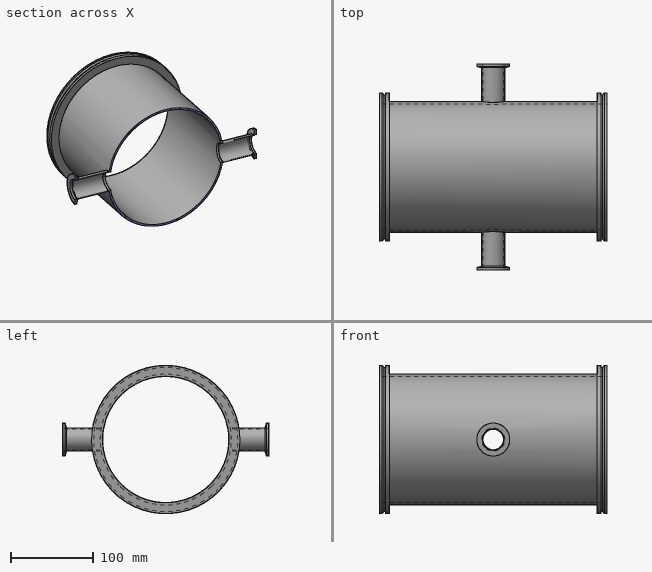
import cadquery as cq
import math

chamber_length = 276.0
chamber_bore_radius = 153.0 / 2
chamber_wall = 3.0
chamber_outer_radius = chamber_bore_radius + chamber_wall

flange_radius = 180.0 / 2
flange_thickness = 12.0
flange_rim_width = 3.0
clamp_groove_depth = 2.5
clamp_groove_end = 7.5

port_face_distance = 250.0 / 2
port_tube_radius = 28.0 / 2
port_bore_radius = 25.0 / 2
port_flange_radius = 40.0 / 2
port_rim_width = 3.0
port_taper_angle = 15.0
port_recess_radius = 26.2 / 2
port_recess_depth = 3.0


def make_flanged_tube():
    """Revolve the tube and both flanges, with a clamp groove round each flange."""
    half_length = chamber_length / 2
    groove_radius = flange_radius - clamp_groove_depth
    chamfer_start = half_length - flange_rim_width
    chamfer_end = chamfer_start - clamp_groove_depth
    groove_wall = half_length - clamp_groove_end
    flange_back = half_length - flange_thickness
    half_outline = [
        (half_length, chamber_bore_radius),
        (half_length, flange_radius),
        (chamfer_start, flange_radius),
        (chamfer_end, groove_radius),
        (groove_wall, groove_radius),
        (groove_wall, flange_radius),
        (flange_back, flange_radius),
        (flange_back, chamber_outer_radius),
    ]
    mirrored_outline = [(-x, radius) for x, radius in reversed(half_outline)]
    profile = cq.Workplane("XZ").polyline(half_outline + mirrored_outline).close()
    return profile.revolve(360, (0, 0, 0), (1, 0, 0))


def make_port_envelope():
    """Solid outer shape of the port on the -Y side, from the chamber axis outwards."""
    rim_back = port_face_distance - port_rim_width
    taper_length = (port_flange_radius - port_tube_radius) * math.tan(math.radians(port_taper_angle))
    profile = (
        cq.Workplane("YZ")
        .lineTo(0, port_tube_radius)
        .lineTo(-(rim_back - taper_length), port_tube_radius)
        .lineTo(-rim_back, port_flange_radius)
        .lineTo(-port_face_distance, port_flange_radius)
        .lineTo(-port_face_distance, 0)
        .close()
    )
    return profile.revolve(360, (0, 0, 0), (1, 0, 0))


def make_port():
    """Port on the -Y side, hollow and saddle-cut to sit on the chamber tube."""
    chamber_envelope = cq.Workplane("YZ").circle(chamber_outer_radius).extrude(chamber_length / 2, both=True)
    bore = cq.Workplane("XZ").circle(port_bore_radius).extrude(port_face_distance)
    recess = (
        cq.Workplane("XZ")
        .workplane(offset=port_face_distance - port_recess_depth)
        .circle(port_recess_radius)
        .extrude(port_recess_depth)
    )
    return make_port_envelope().cut(chamber_envelope).cut(bore).cut(recess)


def make_chamber():
    """Flanged tube with the two port bores drilled through its wall."""
    port_bores = cq.Workplane("XZ").circle(port_bore_radius).extrude(port_face_distance, both=True)
    return make_flanged_tube().cut(port_bores)


chamber = make_chamber()
ports = [make_port().rotate((0, 0, 0), (0, 0, 1), turn) for turn in (0, 180)]

result = cq.Compound.makeCompound([chamber.val(), *[port.val() for port in ports]])